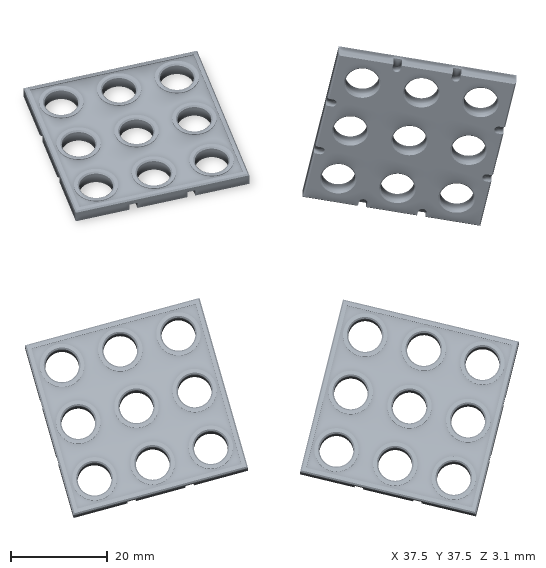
import cadquery as cq
side = 37.5
thickness = 3.1
edge_chamfer = 0.3

grid_count = 3
pitch = side / grid_count
hole_diameter = 7.0
hole_chamfer = 0.3
collar_diameter = 9.2

rim_width = 1.1
recess_depth = 0.2

slot_width = 1.8
slot_height = 1.8
slot_depth = 2.1


def centred_places(count):
    """Places one pitch apart, centred on zero."""
    return [(i - (count - 1) / 2) * pitch for i in range(count)]


hole_centres = [(x, y) for x in centred_places(grid_count) for y in centred_places(grid_count)]


def plate():
    """Square plate with its top and bottom edges chamfered."""
    body = cq.Workplane("XY").box(side, side, thickness, centered=(True, True, False))
    return body.faces("<Z or >Z").chamfer(edge_chamfer)


def top_recess():
    """Material removed from the top face, leaving the rim and the collars."""
    recess_side = side - 2 * rim_width
    floor = cq.Workplane("XY").workplane(offset=thickness - recess_depth)
    pocket = floor.rect(recess_side, recess_side).extrude(recess_depth)
    collars = floor.pushPoints(hole_centres).circle(collar_diameter / 2).extrude(recess_depth)
    return pocket.cut(collars)


def hole():
    """Through hole on the Z axis, chamfered at both ends."""
    bore_radius = hole_diameter / 2
    mouth_radius = bore_radius + hole_chamfer
    profile = [
        (0, 0),
        (mouth_radius, 0),
        (bore_radius, hole_chamfer),
        (bore_radius, thickness - hole_chamfer),
        (mouth_radius, thickness),
        (0, thickness),
    ]
    return cq.Workplane("XZ").polyline(profile).close().revolve(360, (0, 0, 0), (0, 1, 0))


def edge_slots():
    """Slots running inward from all four sides, with half-round inner ends."""
    outer_end = -side / 2
    straight_length = slot_depth - slot_width / 2
    end_centre = outer_end + straight_length
    slots = []
    for along in centred_places(grid_count - 1):
        channel = cq.Workplane("XY").box(
            straight_length, slot_width, slot_height, centered=(False, True, False)
        )
        channel = channel.translate((outer_end, along, 0))
        round_end = cq.Workplane("XY").center(end_centre, along).circle(slot_width / 2).extrude(slot_height)
        slot = channel.union(round_end)
        for turn in (0, 90, 180, 270):
            slots.append(slot.rotate((0, 0, 0), (0, 0, 1), turn))
    return slots


result = plate().cut(top_recess())
for slot in edge_slots():
    result = result.cut(slot)
for x, y in hole_centres:
    result = result.cut(hole().translate((x, y, 0)))